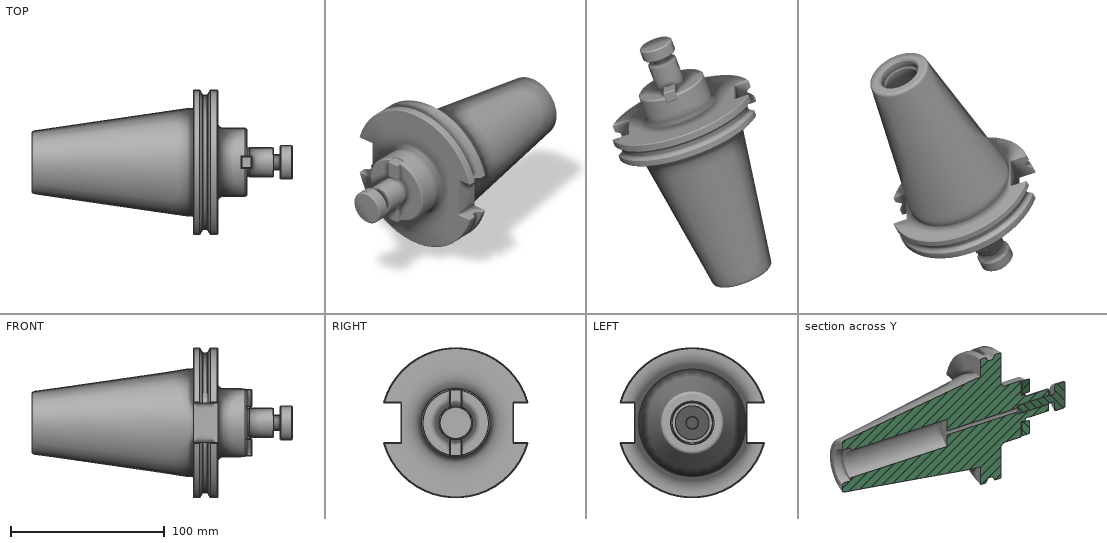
import cadquery as cq
import math


GAUGE_DIAMETER = 69.9
GAUGE_X = 101.3
TAPER_RATIO = 7 / 24
SHANK_END_ROUNDING = 2.0
SHANK_ROOT_FILLET = 0.42

FLANGE_DIAMETER = 97.5
FLANGE_BACK_X = 105.0
FLANGE_WIDTH = 16.0
FLANGE_EDGE_CHAMFER = 0.5
GROOVE_CENTRE = 7.6
GROOVE_TOP_WIDTH = 7.0
GROOVE_DEPTH = 3.2
GROOVE_FLANK_ANGLE = 30
GROOVE_FLOOR_FILLET = 0.6
DRIVE_SLOT_WIDTH = 25.8
SLOT_FLOOR_FRONT = 35.5
SLOT_FLOOR_REAR = 37.5

BOSS_DIAMETER = 44.6
BOSS_FACE_X = 139.8
BOSS_FILLET = 3.0
BOSS_CHAMFER = 1.0
SPIGOT_DIAMETER = 19.0
SPIGOT_LENGTH = 17.3
SPIGOT_CHAMFER_LENGTH = 0.8
SPIGOT_CHAMFER_DEPTH = 0.2
SPIGOT_RELIEF_DIAMETER = 18.5
SPIGOT_RELIEF_LENGTH = 1.9
SPIGOT_ROOT_FILLET = 0.5

BORE_DIAMETER = 22.0
BORE_DEPTH = 79.7
COUNTERBORE_DIAMETER = 26.1
COUNTERBORE_DEPTH = 6.1
UNDERCUT_DIAMETER = 26.6
UNDERCUT_WIDTH = 1.5
MOUTH_DIAMETER = 28.2
MOUTH_DEPTH = 1.4
COOLANT_HOLE_DIAMETER = 8.3

SCREW_SHANK_DIAMETER = 10.0
SCREW_DEPTH = 23.7
SCREW_TIP_CHAMFER = 1.1
SCREW_NECK_FILLET = 0.3
HEAD_DIAMETER = 22.0
HEAD_BACK_X = 161.3
HEAD_CHAMFER = 0.8
OVERALL_LENGTH = 169.6

KEY_WIDTH = 8.0
KEY_THICKNESS = 7.1
KEY_PROTRUSION = 3.4
KEY_INNER_RADIUS = 10.3
KEY_OUTER_RADIUS = 21.7
KEY_CHAMFER = 0.5
KEY_SIDES = (1, -1)

FLANGE_FACE_X = FLANGE_BACK_X + FLANGE_WIDTH
SPIGOT_END_X = BOSS_FACE_X + SPIGOT_LENGTH
SCREW_TIP_X = SPIGOT_END_X - SCREW_DEPTH
KEY_BACK_X = BOSS_FACE_X + KEY_PROTRUSION - KEY_THICKNESS


def cylinder(diameter, start_x, end_x):
    """Solid cylinder on the X axis between two stations."""
    return cq.Workplane("YZ", origin=(start_x, 0, 0)).circle(diameter / 2).extrude(end_x - start_x)


def revolve_about_x(profile):
    """Close a half-section in the XY plane and turn it about the X axis."""
    return profile.close().revolve(360, (0, 0, 0), (1, 0, 0))


def taper_shank():
    gauge_radius = GAUGE_DIAMETER / 2
    end_radius = gauge_radius - GAUGE_X * TAPER_RATIO / 2
    fillet_start_x = FLANGE_BACK_X - SHANK_ROOT_FILLET
    profile = (
        cq.Workplane("XY")
        .lineTo(0, end_radius)
        .lineTo(GAUGE_X, gauge_radius)
        .lineTo(fillet_start_x, gauge_radius)
        .radiusArc((FLANGE_BACK_X, gauge_radius + SHANK_ROOT_FILLET), -SHANK_ROOT_FILLET)
        .lineTo(FLANGE_BACK_X, 0)
    )
    return revolve_about_x(profile).faces("<X").edges().fillet(SHANK_END_ROUNDING)


def flange():
    disc = cylinder(FLANGE_DIAMETER, FLANGE_BACK_X, FLANGE_FACE_X).cut(drive_slots())
    rim_edges = disc.faces("%CYLINDER").edges()
    slot_wall_edges = disc.edges("|Y")
    disc = rim_edges.add(slot_wall_edges).chamfer(FLANGE_EDGE_CHAMFER)
    return disc.cut(gripper_groove())


def gripper_groove():
    """Ring with a trapezoidal section and rounded floor corners, cut around the flange rim."""
    centre_x = FLANGE_BACK_X + GROOVE_CENTRE
    rim_radius = FLANGE_DIAMETER / 2
    floor_radius = rim_radius - GROOVE_DEPTH
    outside_radius = rim_radius + GROOVE_DEPTH
    half_top = GROOVE_TOP_WIDTH / 2
    half_floor = half_top - GROOVE_DEPTH * math.tan(math.radians(GROOVE_FLANK_ANGLE))
    profile = (
        cq.Workplane("XY")
        .moveTo(centre_x - half_floor, floor_radius)
        .lineTo(centre_x - half_top, rim_radius)
        .lineTo(centre_x - half_top, outside_radius)
        .lineTo(centre_x + half_top, outside_radius)
        .lineTo(centre_x + half_top, rim_radius)
        .lineTo(centre_x + half_floor, floor_radius)
    )
    ring = revolve_about_x(profile)
    floor_corners = ring.edges(cq.selectors.RadiusNthSelector(0))
    return floor_corners.fillet(GROOVE_FLOOR_FILLET)


def drive_slots():
    """Two slots across the rim, on -Y and +Y, with floors at unequal distances from the axis."""
    block = cq.Workplane("XY").box(
        FLANGE_WIDTH, FLANGE_DIAMETER, DRIVE_SLOT_WIDTH, centered=(False, False, True)
    )
    front_slot = block.translate((FLANGE_BACK_X, -SLOT_FLOOR_FRONT - FLANGE_DIAMETER, 0))
    rear_slot = block.translate((FLANGE_BACK_X, SLOT_FLOOR_REAR, 0))
    return front_slot.union(rear_slot)


def boss():
    radius = BOSS_DIAMETER / 2
    profile = (
        cq.Workplane("XY")
        .moveTo(FLANGE_FACE_X, 0)
        .lineTo(FLANGE_FACE_X, radius + BOSS_FILLET)
        .radiusArc((FLANGE_FACE_X + BOSS_FILLET, radius), -BOSS_FILLET)
        .lineTo(BOSS_FACE_X - BOSS_CHAMFER, radius)
        .lineTo(BOSS_FACE_X, radius - BOSS_CHAMFER)
        .lineTo(BOSS_FACE_X, 0)
    )
    return revolve_about_x(profile)


def spigot():
    radius = SPIGOT_DIAMETER / 2
    relief_radius = SPIGOT_RELIEF_DIAMETER / 2
    relief_end_x = BOSS_FACE_X + SPIGOT_RELIEF_LENGTH
    profile = (
        cq.Workplane("XY")
        .moveTo(BOSS_FACE_X, 0)
        .lineTo(BOSS_FACE_X, relief_radius + SPIGOT_ROOT_FILLET)
        .radiusArc((BOSS_FACE_X + SPIGOT_ROOT_FILLET, relief_radius), -SPIGOT_ROOT_FILLET)
        .lineTo(relief_end_x, relief_radius)
        .lineTo(relief_end_x, radius)
        .lineTo(SPIGOT_END_X - SPIGOT_CHAMFER_LENGTH, radius)
        .lineTo(SPIGOT_END_X, radius - SPIGOT_CHAMFER_DEPTH)
        .lineTo(SPIGOT_END_X, 0)
    )
    return revolve_about_x(profile)


def drawbar_bore():
    """Hole from the small end: mouth, undercut counterbore, main bore and coolant hole."""
    mouth_radius = MOUTH_DIAMETER / 2
    counterbore_radius = COUNTERBORE_DIAMETER / 2
    undercut_start_x = COUNTERBORE_DEPTH - UNDERCUT_WIDTH
    mouth_profile = (
        cq.Workplane("XY")
        .lineTo(0, mouth_radius)
        .lineTo(MOUTH_DEPTH, counterbore_radius)
        .lineTo(MOUTH_DEPTH, 0)
    )
    return (
        revolve_about_x(mouth_profile)
        .union(cylinder(COUNTERBORE_DIAMETER, 0, COUNTERBORE_DEPTH))
        .union(cylinder(UNDERCUT_DIAMETER, undercut_start_x, COUNTERBORE_DEPTH))
        .union(cylinder(BORE_DIAMETER, 0, BORE_DEPTH))
        .union(cylinder(COOLANT_HOLE_DIAMETER, 0, SCREW_TIP_X))
    )


def screw_hole():
    return cylinder(SCREW_SHANK_DIAMETER, SCREW_TIP_X, SPIGOT_END_X)


def key_block(side, outer_radius):
    """Plain block from the key's inner end to outer_radius, towards +Z (side = 1) or -Z (side = -1)."""
    length = outer_radius - KEY_INNER_RADIUS
    middle = side * (outer_radius + KEY_INNER_RADIUS) / 2
    return (
        cq.Workplane("XY")
        .box(KEY_THICKNESS, KEY_WIDTH, length, centered=(False, True, True))
        .translate((KEY_BACK_X, 0, middle))
    )


def key_slot(side):
    """Seat for a key, open through the side of the boss."""
    return key_block(side, BOSS_DIAMETER)


def drive_key(side):
    return key_block(side, KEY_OUTER_RADIUS).edges().chamfer(KEY_CHAMFER)


def make_holder():
    holder = taper_shank().union(flange()).union(boss()).union(spigot())
    holder = holder.cut(drawbar_bore()).cut(screw_hole())
    for side in KEY_SIDES:
        holder = holder.cut(key_slot(side))
    return holder


def make_screw():
    shank = cylinder(SCREW_SHANK_DIAMETER, SCREW_TIP_X, HEAD_BACK_X)
    shank = shank.faces("<X").edges().chamfer(SCREW_TIP_CHAMFER)
    head = cylinder(HEAD_DIAMETER, HEAD_BACK_X, OVERALL_LENGTH)
    head = head.faces("<X or >X").edges().chamfer(HEAD_CHAMFER)
    return shank.union(head).union(screw_neck_fillet())


def screw_neck_fillet():
    """Concave ring between the shank and the back of the head."""
    radius = SCREW_SHANK_DIAMETER / 2
    fillet_start_x = HEAD_BACK_X - SCREW_NECK_FILLET
    profile = (
        cq.Workplane("XY")
        .moveTo(fillet_start_x, 0)
        .lineTo(fillet_start_x, radius)
        .radiusArc((HEAD_BACK_X, radius + SCREW_NECK_FILLET), -SCREW_NECK_FILLET)
        .lineTo(HEAD_BACK_X, 0)
    )
    return revolve_about_x(profile)


holder = make_holder()
screw = make_screw()
keys = [drive_key(side) for side in KEY_SIDES]

result = cq.Compound.makeCompound([holder.val(), screw.val(), *[key.val() for key in keys]])